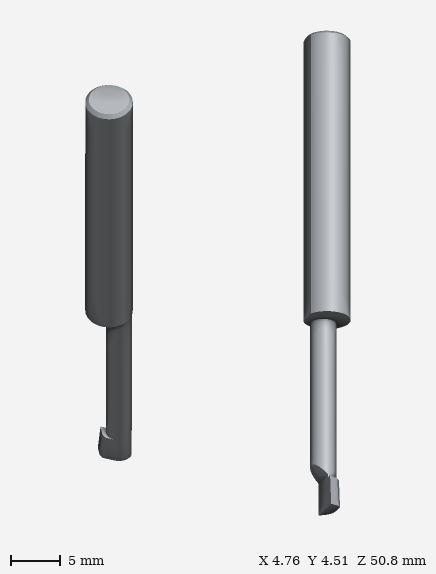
import cadquery as cq
import math

overall_length = 50.8
shank_length = 30.48
shank_diameter = 4.7625
flat_offset = 2.13
shank_chamfer = 0.36

neck_diameter = 2.64

face_start = 3.54
runout_angle = 45.0

tooth_height = 3.2
tip_x = -1.19
land_x = -0.67
land_y = -0.98
heel_x = -0.22
tooth_lean = 0.3

end_relief_x = 2.0
end_relief_y = 6.0

shank_radius = shank_diameter / 2
neck_radius = neck_diameter / 2
neck_x = shank_radius - neck_radius
shank_bottom = overall_length - shank_length


def make_shank():
    """Round shank with a chamfered top and a flat along +Y."""
    shank = (
        cq.Workplane("XY", origin=(0, 0, shank_bottom))
        .circle(shank_radius)
        .extrude(shank_length)
        .faces(">Z")
        .chamfer(shank_chamfer)
    )
    flat_cutter = (
        cq.Workplane("XY", origin=(0, flat_offset, shank_bottom))
        .rect(2 * shank_diameter, shank_diameter)
        .extrude(shank_length)
        .translate((0, shank_radius, 0))
    )
    return shank.cut(flat_cutter)


def make_neck():
    """Eccentric round neck, halved at the tip with a sloped run-out."""
    neck = cq.Workplane("XY").center(neck_x, 0).circle(neck_radius).extrude(shank_bottom)
    cut_depth = neck_diameter
    runout_top = face_start + cut_depth * math.tan(math.radians(runout_angle))
    half_cutter = (
        cq.Workplane("YZ")
        .polyline([(0, 0), (cut_depth, 0), (cut_depth, runout_top), (0, face_start)])
        .close()
        .extrude(shank_diameter, both=True)
    )
    return neck.cut(half_cutter)


def make_tooth():
    """Leaning tooth with two clearance faces and a flat heel tangent to the neck."""
    outline = [
        (tip_x, 0),
        (land_x, land_y),
        (heel_x, -neck_radius),
        (neck_x, -neck_radius),
        (neck_x, 0),
    ]
    upper_outline = [(x + tooth_lean if x < neck_x else x, y) for x, y in outline]
    return (
        cq.Workplane("XY")
        .polyline(outline)
        .close()
        .workplane(offset=tooth_height)
        .polyline(upper_outline)
        .close()
        .loft(ruled=True)
    )


def make_end_relief():
    """Block below the bottom face, tilted about the tip corner."""
    tip = (tip_x, 0, 0)
    block_size = 4 * shank_diameter
    return (
        cq.Workplane("XY", origin=tip)
        .rect(block_size, block_size)
        .extrude(-shank_diameter)
        .rotate(tip, (tip_x + 1, 0, 0), -end_relief_y)
        .rotate(tip, (tip_x, 1, 0), -end_relief_x)
    )


result = make_shank().union(make_neck()).union(make_tooth()).cut(make_end_relief())